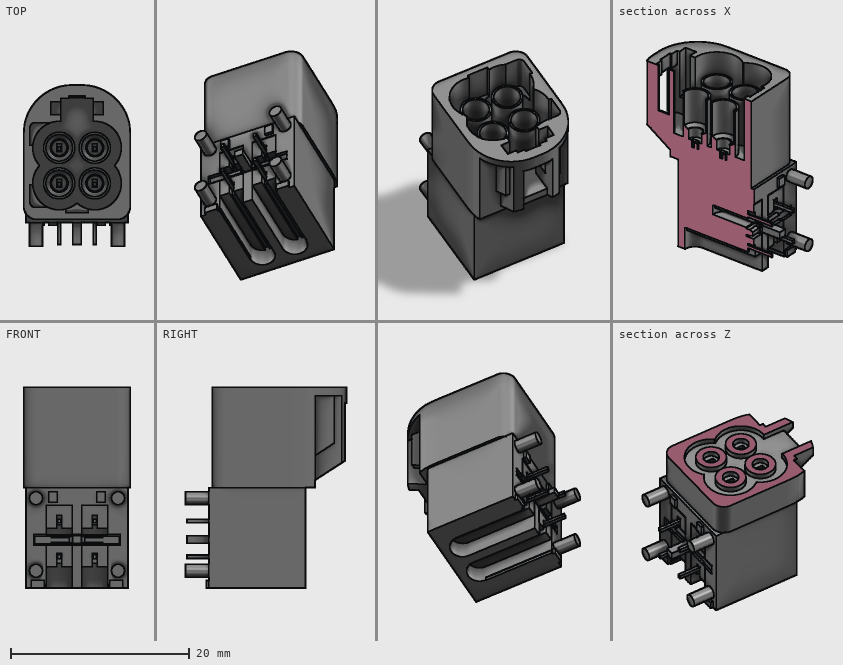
import cadquery as cq


height = 22.55
depth = 18.1
base_top = -height / 2
contact_pitch = 4.0
contact_offset = contact_pitch / 2
contact_centres = [(sx * contact_offset, sy * contact_offset) for sx in (-1, 1) for sy in (-1, 1)]

shell_half_width = 6.0
shell_front = -6.05
shell_back = depth / 2
shell_corner_radius = 1.49
side_flat_end = 3.0
side_arc_end = (5.9, 4.6)
side_arc_middle = (5.98, 3.8)
crown_middle = (4.26, 7.58)
crown_flat_half = 0.56
shell_cut_y = 5.52
rim_thickness = 0.95

housing_half_width = 2.93
housing_bottom_front = -10.45
pocket_box_half_width = 3.5
pocket_box_back = 7.65
pocket_box_bottom_front = -7.67
housing_slope = 0.65
latch_half_width = 1.85
latch_back = 7.53
latch_notch_half_width = 0.92
latch_notch_back = 7.78
window_floor_edge = 7.65
window_top = -1.8
pocket_half_width = 2.95
pocket_front = 5.68
pocket_rear = 7.17
pocket_depth = 5.86

cavity_floor = -8.0
lobe_radius = 2.98
waist_half_width = 4.26
key_half_width = 1.26
key_front = -5.28
keyway_depth = 4.5
side_key_x = -5.3
side_key_radius = 0.63
side_key_spans = [(2.25, 4.83, ">Y"), (-4.7, -2.16, "<Y")]

tower_diameter = 3.5
tower_top = -2.12
bore_diameter = 3.0
bore_bottom_diameter = 2.0
bore_bottom = -6.76
bore_cone_height = 0.32
insert_diameter = 1.75
contact_slot_width = 0.55
contact_slot_length = 0.9
contact_slot_depth = 0.9
contact_leg_thickness = 0.45
contact_leg_shift = -0.1
contact_leg_recess = 0.23

base_half_width = 5.75
base_front = -6.4
base_back = 4.45
chamber_width = 2.89
chamber_mouth_width = 3.0
chamber_mouth_height = 0.45
cover_recess = 0.07
cover_top = -13.28
front_chamber = (-16.6, -15.85)
rear_chamber = (-height, -20.18)
pin_slot_width = 0.56
pin_slot_depth = 0.9
pin_slot_tops = (-14.4, -18.67)
pin_slot_deep_height = 0.43

shield_slot_half_width = 4.83
shield_slot = (-17.72, -16.5)
shield_slot_depth = 1.13
shield_half_width = 4.71
shield = (-17.57, -16.73)
shield_recess = 0.18
shield_bevel_height = 0.15
shield_bevel_depth = 0.45
shield_bevel_end = 2.89
shoulder_half_width = 0.88
shoulder = (-17.45, -16.78)

pin_end = -8.88
signal_pin_width = 0.38
pin_embedment = 0.23
signal_pins = [(-15.25, -14.82), (-19.25, -18.83)]
ground_pin_half_width = 0.5
ground_pin = (-17.55, -16.66)
peg_end = -depth / 2
peg_diameter = 1.47
peg_x = 4.6
peg_heights = (-12.47, -20.6)
pad_front = -6.72
pads = [(2.23, 3.18, -12.95, -11.75), (3.68, 5.15, -height, -21.7)]


def block(x0, x1, y0, y1, z0, z1):
    """Box between two opposite corners."""
    return cq.Workplane("XY").box(x1 - x0, y1 - y0, z1 - z0, centered=False).translate((x0, y0, z0))


def centred_block(half_width, y0, y1, z0, z1):
    """Box symmetric about the X = 0 plane."""
    return block(-half_width, half_width, y0, y1, z0, z1)


def post(centre, diameter, z0, z1):
    """Vertical cylinder."""
    return cq.Workplane("XY", origin=(*centre, z0)).circle(diameter / 2).extrude(z1 - z0)


def mirrored(body):
    """The body together with its mirror image across X = 0."""
    return body.union(body.mirror("YZ"))


def shell_outline():
    """Full height body with a rounded crown on the +Y side."""
    def left(point):
        return (-point[0], point[1])

    crown_end = (crown_flat_half, shell_back)
    return (
        cq.Workplane("XY", origin=(0, 0, base_top))
        .moveTo(-shell_half_width, shell_front)
        .lineTo(shell_half_width, shell_front)
        .lineTo(shell_half_width, side_flat_end)
        .threePointArc(side_arc_middle, side_arc_end)
        .threePointArc(crown_middle, crown_end)
        .lineTo(*left(crown_end))
        .threePointArc(left(crown_middle), left(side_arc_end))
        .threePointArc(left(side_arc_middle), (-shell_half_width, side_flat_end))
        .close()
        .extrude(-base_top)
        .edges("|Z and <Y").fillet(shell_corner_radius)
    )


def sloped_housing(half_width, back, bottom_front):
    """Block behind the shell whose underside rises towards +Y."""
    bottom_back = bottom_front + housing_slope * (back - shell_cut_y)
    return (
        cq.Workplane("YZ", origin=(-half_width, 0, 0))
        .polyline([(shell_cut_y, 0), (back, 0), (back, bottom_back), (shell_cut_y, bottom_front)])
        .close()
        .extrude(2 * half_width)
    )


def make_shell():
    """Shell with its full rim and the narrower latch housing under it."""
    outline = shell_outline()
    front = centred_block(shell_half_width, shell_front, shell_cut_y, base_top, 0)
    rim = centred_block(shell_half_width, shell_cut_y, shell_back, -rim_thickness, 0)
    housing = sloped_housing(housing_half_width, shell_back, housing_bottom_front)
    pocket_box = sloped_housing(pocket_box_half_width, pocket_box_back, pocket_box_bottom_front)
    return outline.intersect(front.union(rim).union(housing).union(pocket_box))


def make_cavity():
    """Four overlapping lobes, the latch channel and the keyways."""
    cavity = centred_block(waist_half_width, -contact_offset, contact_offset, cavity_floor, 0)
    for centre in contact_centres:
        cavity = cavity.union(post(centre, 2 * lobe_radius, cavity_floor, 0))
    cavity = cavity.union(centred_block(latch_half_width, 0, latch_back, cavity_floor, 0))
    cavity = cavity.union(
        centred_block(latch_notch_half_width, 0, latch_notch_back, cavity_floor, 0))
    cavity = cavity.union(
        centred_block(pocket_half_width, pocket_front, pocket_rear, -pocket_depth, 0))
    cavity = cavity.union(centred_block(key_half_width, key_front, 0, -keyway_depth, 0))
    for y0, y1, outer_end in side_key_spans:
        keyway = block(side_key_x, -contact_offset, y0, y1, -keyway_depth, 0)
        cavity = cavity.union(keyway.edges("|Z and <X").edges(outer_end).fillet(side_key_radius))
    return cavity


def make_latch_window():
    """Opening through the back wall under the rim, reaching down past the channel floor."""
    above_floor = centred_block(latch_half_width, latch_back, shell_back, cavity_floor, window_top)
    behind_floor = centred_block(latch_half_width, window_floor_edge, shell_back, base_top, window_top)
    return above_floor.union(behind_floor)


def make_tower(centre):
    """Contact sleeve with a bore, a conical seat and an insert hole."""
    tower = post(centre, tower_diameter, cavity_floor, tower_top)
    cone_top = bore_bottom + bore_cone_height
    bore = post(centre, bore_diameter, cone_top, tower_top)
    cone = (
        cq.Workplane("XY", origin=(*centre, cone_top))
        .circle(bore_diameter / 2)
        .workplane(offset=-bore_cone_height)
        .circle(bore_bottom_diameter / 2)
        .loft()
    )
    insert_hole = post(centre, insert_diameter, cavity_floor, bore_bottom)
    return tower.cut(bore).cut(cone).cut(insert_hole)


def make_contact_slot(centre):
    """Rectangular slot in the cavity floor for one contact."""
    return (
        cq.Workplane("XY", origin=(*centre, cavity_floor))
        .rect(contact_slot_width, contact_slot_length)
        .extrude(-contact_slot_depth)
    )


def make_contact_leg(centre):
    """Upright end of a contact standing in its slot."""
    x, y = centre
    middle = (x, y + contact_leg_shift, cavity_floor - contact_slot_depth)
    return (
        cq.Workplane("XY", origin=middle)
        .rect(signal_pin_width, contact_leg_thickness)
        .extrude(contact_slot_depth - contact_leg_recess)
    )


def chamber(row_y, z0, z1):
    """Round-ended slot running from the front face back to a contact row."""
    slot = block(contact_offset - chamber_width / 2, contact_offset + chamber_width / 2,
                 base_front, row_y, z0, z1)
    return slot.union(post((contact_offset, row_y), chamber_width, z0, z1))


def make_base():
    """Lower block with the recessed covers, contact chambers and pin slots."""
    base = centred_block(base_half_width, base_front, base_back, -height, base_top)
    window_inner = contact_offset - chamber_width / 2
    window_outer = contact_offset + chamber_width / 2
    recess_back = base_front + cover_recess
    openings = block(window_inner, window_outer, base_front, recess_back, -height, cover_top)
    openings = openings.union(chamber(-contact_offset, *front_chamber))
    openings = openings.union(chamber(contact_offset, *rear_chamber))
    openings = openings.union(
        block(contact_offset, contact_offset + chamber_mouth_width / 2, base_front, contact_offset,
              -height, -height + chamber_mouth_height))
    slot_left = contact_offset - pin_slot_width / 2
    slot_right = contact_offset + pin_slot_width / 2
    rows = zip((-contact_offset, contact_offset), pin_slot_tops, (front_chamber[1], rear_chamber[1]))
    for row_y, slot_top, slot_bottom in rows:
        deep_top = slot_bottom + pin_slot_deep_height
        slot = block(slot_left, slot_right, base_front, base_front + pin_slot_depth, slot_bottom, slot_top)
        strip = block(slot_left, slot_right, base_front, base_back, slot_bottom, deep_top)
        deep_slot = chamber(row_y, slot_bottom, deep_top).intersect(strip)
        openings = openings.union(slot).union(deep_slot)
    return base.cut(mirrored(openings))


def make_shield():
    """Plate across the base with bevelled edges and a shoulder for the ground pin."""
    back = base_front + shield_slot_depth
    face = base_front + shield_recess
    plate = centred_block(shield_half_width, face, back, *shield)
    bottom, top = shield
    bevel_back = face + shield_bevel_depth
    upper_bevel = [(face, top), (face, top - shield_bevel_height), (bevel_back, top)]
    lower_bevel = [(face, bottom), (face, bottom + shield_bevel_height), (bevel_back, bottom)]
    for profile in (upper_bevel, lower_bevel):
        bevel = (
            cq.Workplane("YZ", origin=(shoulder_half_width, 0, 0))
            .polyline(profile)
            .close()
            .extrude(shield_bevel_end - shoulder_half_width)
        )
        plate = plate.cut(mirrored(bevel))
    plate = plate.union(centred_block(shoulder_half_width, base_front, back, *shoulder))
    return plate.union(centred_block(ground_pin_half_width, pin_end, back, *ground_pin))


def make_front_details():
    """Signal pins, locating pegs and stand-off pads on the +X half."""
    half_pin = signal_pin_width / 2
    pin_root = base_front + pin_slot_depth + pin_embedment
    details = cq.Workplane("XY")
    for z0, z1 in signal_pins:
        details = details.add(
            block(contact_offset - half_pin, contact_offset + half_pin, pin_end, pin_root, z0, z1))
    for z in peg_heights:
        details = details.add(
            cq.Workplane("XZ", origin=(peg_x, base_front, z))
            .circle(peg_diameter / 2)
            .extrude(base_front - peg_end))
    for x0, x1, z0, z1 in pads:
        details = details.add(block(x0, x1, pad_front, base_front, z0, z1))
    return details.combine()


result = make_shell().union(make_base())
result = result.cut(make_cavity()).cut(make_latch_window())
for contact in contact_centres:
    result = result.union(make_tower(contact)).cut(make_contact_slot(contact))
    result = result.union(make_contact_leg(contact))
result = result.cut(
    centred_block(shield_slot_half_width, base_front, base_front + shield_slot_depth, *shield_slot))
result = result.union(make_shield())
front_details = make_front_details()
result = result.union(front_details).union(front_details.mirror("YZ"))